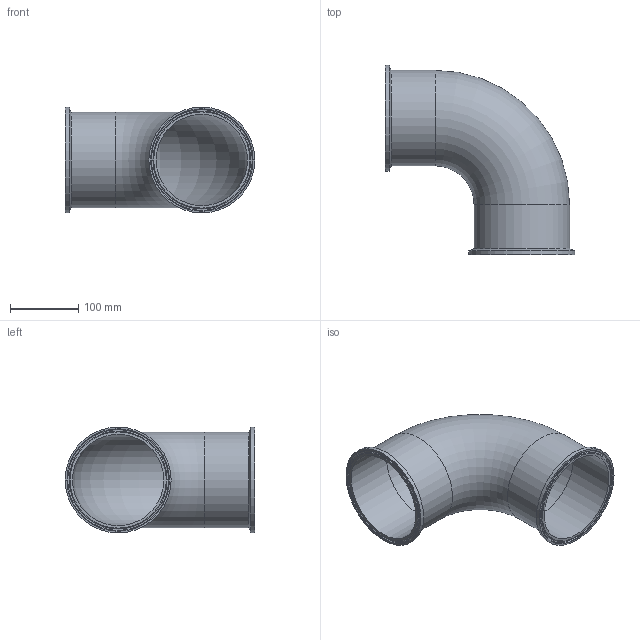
import cadquery as cq
import math


tube_diameter = 139.8
wall = 3.0
bend_radius = 127.0
end_distance = 200.0

flange_diameter = 155.0
rim_thickness = 5.7
cone_angle = 20.0
root_radius = 1.2

groove_mean_diameter = 145.5
groove_width = 4.6
groove_depth = 1.6

tube_radius = tube_diameter / 2
bore_radius = tube_radius - wall
flange_radius = flange_diameter / 2


def make_bend():
    """Hollow quarter torus joining the two straight legs."""
    return (
        cq.Workplane("YZ", origin=(-bend_radius, 0, 0))
        .circle(tube_radius)
        .circle(bore_radius)
        .revolve(90, (-bend_radius, 0), (-bend_radius, -1))
    )


def make_leg():
    """Straight tube and ferrule along X, with its face at the -X end."""
    face_x = -end_distance
    rim_x = face_x + rim_thickness
    slope = math.radians(cone_angle)

    arc_center_r = tube_radius + root_radius
    cone_end_r = arc_center_r - root_radius * math.sin(slope)
    cone_end_x = rim_x + (flange_radius - cone_end_r) * math.tan(slope)
    arc_center_x = cone_end_x + root_radius * math.cos(slope)
    arc_middle_angle = (math.pi / 2 + slope) / 2
    arc_middle_point = (
        arc_center_x - root_radius * math.cos(arc_middle_angle),
        arc_center_r - root_radius * math.sin(arc_middle_angle),
    )

    groove_r = groove_mean_diameter / 2
    half_width = groove_width / 2
    inflection_x = face_x + groove_depth / 2
    floor_x = face_x + groove_depth

    return (
        cq.Workplane("XY")
        .moveTo(-bend_radius, bore_radius)
        .lineTo(face_x, bore_radius)
        .lineTo(face_x, groove_r - half_width)
        .tangentArcPoint((inflection_x, groove_r - half_width / 2), relative=False)
        .threePointArc((floor_x, groove_r), (inflection_x, groove_r + half_width / 2))
        .tangentArcPoint((face_x, groove_r + half_width), relative=False)
        .lineTo(face_x, flange_radius)
        .lineTo(rim_x, flange_radius)
        .lineTo(cone_end_x, cone_end_r)
        .threePointArc(arc_middle_point, (arc_center_x, tube_radius))
        .lineTo(-bend_radius, tube_radius)
        .close()
        .revolve(360, (0, 0), (1, 0))
    )


bend = make_bend()
leg_x = make_leg()
leg_y = leg_x.rotate((0, 0, 0), (0, 0, 1), 90)
result = bend.union(leg_x).union(leg_y)